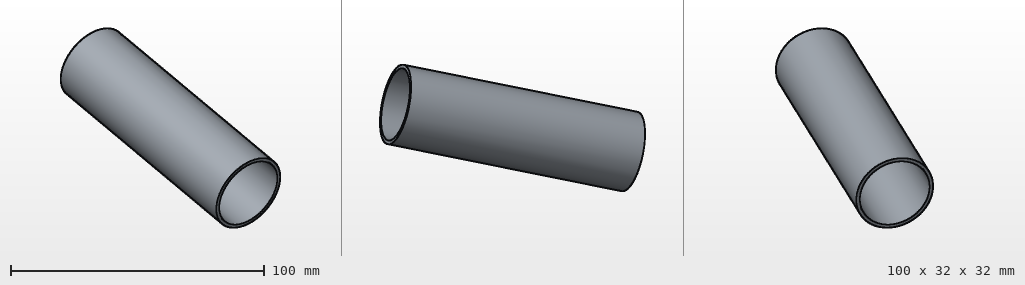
import cadquery as cq

length = 100.0
outer_diameter = 32.0
wall_thickness = 1.5
inner_diameter = outer_diameter - 2 * wall_thickness

result = (
    cq.Workplane("YZ")
    .workplane(offset=-length / 2)
    .circle(outer_diameter / 2)
    .circle(inner_diameter / 2)
    .extrude(length)
)